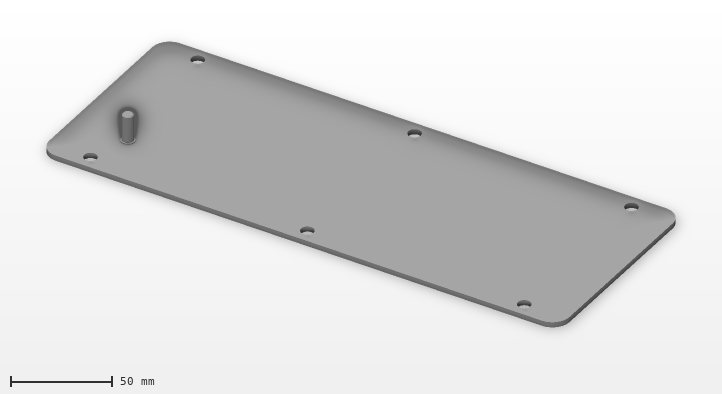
import cadquery as cq

length = 300.0
width = 117.0
thickness = 3.0
corner_radius = 10.0

hole_diameter = 7.2
hole_pitch_x = 125.0
hole_pitch_y = 101.0

overall_height = 19.0
stud_x = -117.0
stud_y = -28.5
stud_diameter = 6.0
stud_tip_chamfer = 0.5
flange_diameter = 7.5
flange_height = 0.5


def make_plate():
    """Rounded plate with its underside on Z = 0, pierced by the mounting holes."""
    plate = cq.Workplane("XY").box(length, width, thickness, centered=(True, True, False))
    plate = plate.edges("|Z").fillet(corner_radius)
    return (
        plate.faces(">Z").workplane(origin=(0, 0, thickness))
        .rarray(hole_pitch_x, hole_pitch_y, 3, 2)
        .hole(hole_diameter)
    )


def make_stud():
    """Chamfered cylindrical stud and its flange, rising from the plate's top face."""
    base = cq.Workplane("XY", origin=(stud_x, stud_y, thickness))
    shank = base.circle(stud_diameter / 2).extrude(overall_height - thickness)
    shank = shank.faces(">Z").chamfer(stud_tip_chamfer)
    flange = base.circle(flange_diameter / 2).extrude(flange_height)
    return shank.union(flange)


result = make_plate().union(make_stud())